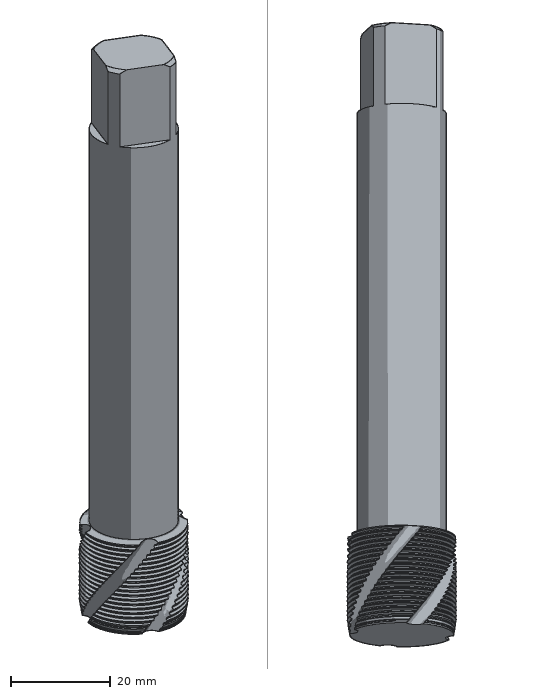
import cadquery as cq
import math

total_length = 125.0
head_length = 20.5
square_length = 17.0

shank_radius = 9.0
square_width = 14.5
drive_chamfer = 0.8

thread_radius = 11.0
thread_pitch = 1.0
thread_angle = 60.0
thread_depth = 0.54 * thread_pitch
crest_width = thread_pitch / 8
root_radius = thread_radius - thread_depth
groove_count = 20
first_groove_z = thread_pitch / 2

nose_radius = 10.5
lead_in_end = 3 * thread_pitch
run_out_start = head_length - 2.5 * thread_pitch
run_out_radius = 10.9
back_rim_drop = 0.4
back_face_radius = 9.2

flute_count = 4
flute_radius = 2.0
flute_depth = 1.8
flute_axis_radius = thread_radius - flute_depth + flute_radius
flute_helix_angle = 40.0


def revolved(points):
    """Solid of revolution about Z from (radius, height) points."""
    return cq.Workplane("XZ").polyline(points).close().revolve(360, (0, 0), (0, 1))


def make_head_blank():
    """Turned blank: conical lead-in, full diameter, run-out and conical back face."""
    return revolved([
        (0, 0),
        (nose_radius, 0),
        (thread_radius, lead_in_end),
        (thread_radius, run_out_start),
        (run_out_radius, head_length - back_rim_drop),
        (back_face_radius, head_length),
        (0, head_length),
    ])


def make_thread_groove(z):
    """Ring with the V section of one thread groove, widened outside the crest for a clean cut."""
    overcut = 0.2
    flank_slope = math.tan(math.radians(thread_angle / 2))
    mouth_half = (thread_pitch - crest_width) / 2
    root_half = mouth_half - thread_depth * flank_slope
    outer_half = mouth_half + overcut * flank_slope
    outer_radius = thread_radius + overcut
    return revolved([
        (root_radius, z - root_half),
        (outer_radius, z - outer_half),
        (outer_radius, z + outer_half),
        (root_radius, z + root_half),
    ])


def make_flutes():
    """Round flutes that climb counter-clockwise and leave the back face on the X and Y axes."""
    lead = 2 * math.pi * thread_radius / math.tan(math.radians(flute_helix_angle))
    twist = 360 * head_length / lead
    return (
        cq.Workplane("XY")
        .polarArray(flute_axis_radius, -twist, 360, flute_count)
        .circle(flute_radius)
        .twistExtrude(head_length, twist)
    )


def make_head():
    head = make_head_blank()
    for index in range(groove_count):
        head = head.cut(make_thread_groove(first_groove_z + index * thread_pitch))
    return head.cut(make_flutes())


def make_shank():
    """Round shank from the back of the head, with a square drive at its top."""
    shank = revolved([
        (0, head_length),
        (shank_radius, head_length),
        (shank_radius, total_length - drive_chamfer),
        (shank_radius - drive_chamfer, total_length),
        (0, total_length),
    ])
    waste = (
        cq.Workplane("XY", origin=(0, 0, total_length - square_length))
        .rect(3 * shank_radius, 3 * shank_radius)
        .rect(square_width, square_width)
        .extrude(square_length)
    )
    return shank.cut(waste)


head = make_head()
shank = make_shank()

result = cq.Compound.makeCompound([head.val(), shank.val()])